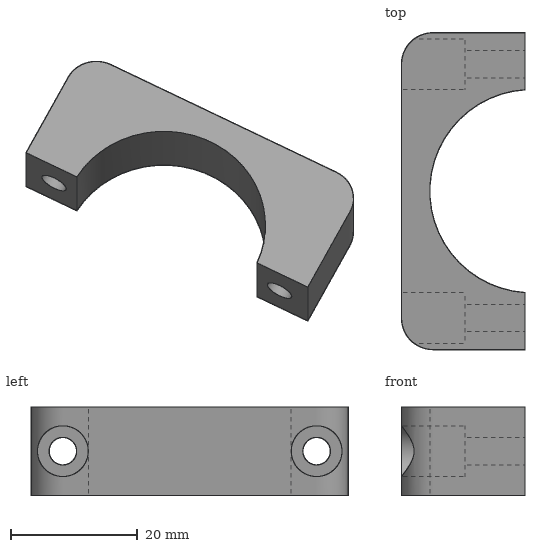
import cadquery as cq

depth = 19.5
length = 50.0
height = 14.0
corner_radius = 5.0

saddle_radius = 16.0
clamping_gap = 1.0
saddle_x = depth + clamping_gap

screw_diameter = 4.3
head_diameter = 8.0
head_depth = 10.0
screw_spacing = length - 2 * corner_radius


def make_block():
    """Block with its back face at X = 0 and two rounded back corners."""
    block = cq.Workplane("XY").box(depth, length, height, centered=(False, True, True))
    return block.edges("|Z and <X").fillet(corner_radius)


def make_saddle():
    """Cylinder that cuts the saddle through the full height."""
    return cq.Workplane("XY").center(saddle_x, 0).circle(saddle_radius).extrude(height / 2, both=True)


def make_screw_hole(y):
    """Through hole along X with a counterbore from the back face."""
    start = cq.Workplane("YZ").center(y, 0)
    shank = start.circle(screw_diameter / 2).extrude(depth)
    head = start.circle(head_diameter / 2).extrude(head_depth)
    return shank.union(head)


result = make_block().cut(make_saddle())
for side in (-1, 1):
    result = result.cut(make_screw_hole(side * screw_spacing / 2))